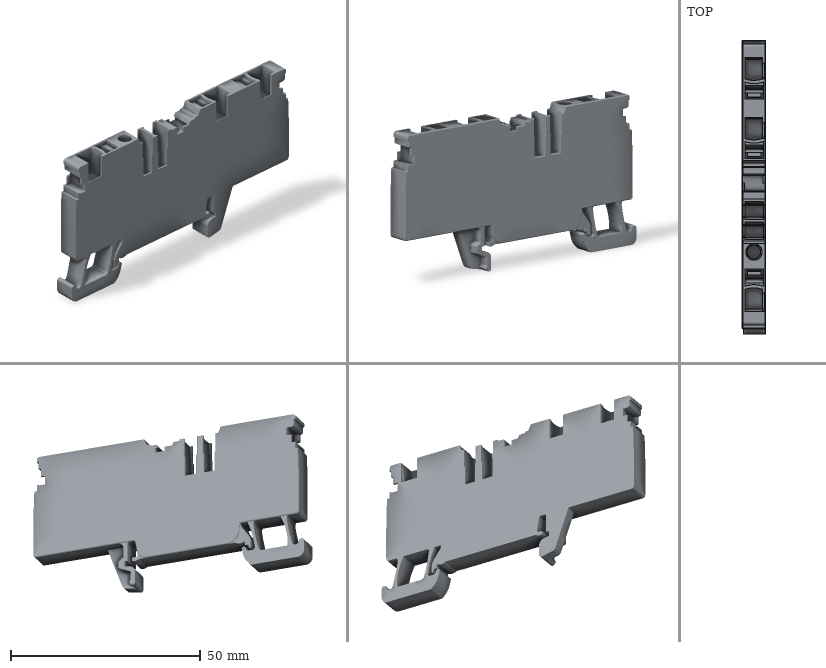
import cadquery as cq
WIDTH = 6.1
LENGTH = 77.54
HEIGHT = 41.1
SKIN = 0.3
SKIN_CHAMFER = 0.2

NEAR_END = 1.4
FAR_END = LENGTH
HOUSING_BOTTOM = 12.45
KEEL_BOTTOM = 7.05
BOTTOM_CORNER = 0.4
BOTTOM_CORNER_TOP = 13.35

LIP_ROUND_WIDTH = 0.9
LIP_ROUND_DROP = 0.8
LIP_INSET = 0.95
LIP_BOTTOM = 39.6
NECK_INSET = 1.4
NECK_BOTTOM = 37.8
MARKER_INSET = 2.1
MARKER_TOP = 37.5
MARKER_BOTTOM = 33.15
SHOULDER_BOTTOM = 31.35
TAPER_INSET = 0.25
TAPER_MID_INSET = 0.064
TAPER_BOTTOM = 22.0

STEP_HIGH = 39.4
STEP_LOW = 38.95
MARKER_FLAT = 38.0
FAR_BLOCK_EDGE = 45.85
NEAR_BLOCK_EDGE = 23.9

SLIT_BOTTOM = 28.75
SLIT_STEP = 34.2
SHAFT_FLOOR = 26.0
SHAFT_X = (0.75, 5.65)
FAR_SLIT_TOP = (30.6, 34.25)
FAR_SLIT_FOOT = (30.85, 34.05)
NEAR_SLIT_TOP = (25.3, 28.9)
NEAR_SLIT_FOOT = (25.65, 28.65)
FAR_SHAFT_MOUTH = (30.3, 35.0)
FAR_SHAFT_FLOOR = (30.9, 34.0)
NEAR_SHAFT_MOUTH = (25.0, 29.55)
NEAR_SHAFT_FLOOR = (25.55, 28.5)

KEEL_FAR_TOP = 48.5
KEEL_FAR_SIDE = (47.75, 9.1)
KEEL_FAR_MID = (46.85, 7.8)
KEEL_FAR_FLAT = 45.3
KEEL_NEAR_TOP = 18.3
KEEL_NEAR_SIDE = (18.5, 10.4)
KEEL_NEAR_MID = (19.5, 8.15)
KEEL_NEAR_FLAT = 21.2

POCKET_WALL = 0.7
POCKET_REACH = 5.4
POCKET_LENGTH = 5.15
POCKET_DEPTH = 8.0
POCKET_BOW = 0.4
WINDOW_INSET = 1.0
WINDOW_DEPTH = 6.0
WINDOW_SILL_SLOPE = 0.55
SLOT_REACH = 5.6
SLOT_GAP = 0.85
SLOT_LENGTH = 4.5
SLOT_DEPTH = 4.0
LEDGE_LENGTH = 0.9
LEDGE_DEPTH = 1.0
PAD_OFFSET = 2.9
PAD_LENGTH = 1.0
PAD_DEPTH = 0.8
PAD_RAMP = 1.0
PAD_BACK_SLOPE = 0.2
PAD_SIDE_GAP = 0.65
TERMINALS = [
    (67.35, -1, 0.5),
    (51.65, -1, 0.4),
    (11.8, 1, 0.7),
]

TEST_HOLE_Y = 21.65
TEST_HOLE_X = 3.1
TEST_HOLE_RADIUS = 1.8
TEST_HOLE_CHAMFER = 0.35
TEST_HOLE_DEPTH = 10.0

MARKER_DEPTH = 1.3
MARKER_WALL = 0.6
MARKER_UNDERCUT = 0.3
MARKER_SPLIT = 35.35
MIDDLE_MARKER = (37.8, 42.4)
MIDDLE_MARKER_SPLIT = 39.9
OPEN_MINUS = (0, WIDTH - MARKER_WALL)
OPEN_PLUS = (MARKER_WALL, WIDTH)

RIM_WEB = 2.9
FOOT_FILLET = 0.4

ARC_POINTS = 3


def slab(start, x_from, x_to):
    """Extrude a closed YZ outline between two X positions."""
    return start.close().extrude(x_to - x_from).translate((x_from, 0, 0))


def polygon(points, x_from, x_to):
    return slab(cq.Workplane("YZ").polyline(points), x_from, x_to)


def block(x_range, y_range, z_range):
    sizes = [high - low for low, high in (x_range, y_range, z_range)]
    corner = (x_range[0], y_range[0], z_range[0])
    return cq.Workplane("XY").box(*sizes, centered=False).translate(corner)


def end_profile(end_face, inward):
    """Stepped end outline from the top face down to the housing bottom.

    Returned as chains of points; a chain of three points is an arc.
    """
    lip_round = [
        (LIP_INSET + LIP_ROUND_WIDTH, HEIGHT),
        (LIP_INSET + 0.27 * LIP_ROUND_WIDTH, HEIGHT - 0.3 * LIP_ROUND_DROP),
        (LIP_INSET, HEIGHT - LIP_ROUND_DROP),
    ]
    steps = [
        lip_round[-1],
        (LIP_INSET, LIP_BOTTOM),
        (NECK_INSET, LIP_BOTTOM),
        (NECK_INSET, NECK_BOTTOM),
        (MARKER_INSET, MARKER_TOP),
        (MARKER_INSET, MARKER_BOTTOM),
        (LIP_INSET, MARKER_BOTTOM),
        (LIP_INSET, SHOULDER_BOTTOM),
        (TAPER_INSET, SHOULDER_BOTTOM),
    ]
    taper = [
        steps[-1],
        (TAPER_MID_INSET, (SHOULDER_BOTTOM + TAPER_BOTTOM) / 2),
        (0, TAPER_BOTTOM),
    ]
    foot = [
        taper[-1],
        (0, BOTTOM_CORNER_TOP),
        (BOTTOM_CORNER * 0.2, HOUSING_BOTTOM + BOTTOM_CORNER),
        (BOTTOM_CORNER, HOUSING_BOTTOM),
    ]
    chains = [lip_round, steps, taper, foot]
    return [[(end_face + inward * inset, z) for inset, z in chain] for chain in chains]


def follow(path, chains):
    """Continue a path that stands on the first point of the first chain."""
    for chain in chains:
        if len(chain) == ARC_POINTS:
            path = path.threePointArc(*chain[1:])
        else:
            path = path.polyline(chain[1:], includeCurrent=True)
    return path


def slit_profile(top, foot):
    """Side slit outline, entered at high Y and left at low Y."""
    return [
        (top[1], STEP_HIGH),
        (top[1], SLIT_STEP),
        (foot[1], SLIT_STEP),
        (foot[1], SLIT_BOTTOM),
        (foot[0], SLIT_BOTTOM),
        (foot[0], SLIT_STEP),
        (top[0], SLIT_STEP),
        (top[0], STEP_HIGH),
    ]


def middle_profile():
    """Stepped top outline between the two terminal blocks, from high to low Y."""
    marker_steps = [
        (FAR_BLOCK_EDGE, HEIGHT),
        (45.1, STEP_HIGH),
        (44.2, STEP_HIGH),
        (43.95, STEP_LOW),
        (42.3, STEP_LOW),
        (41.8, MARKER_FLAT),
        (37.7, MARKER_FLAT),
        (37.5, STEP_LOW),
        (35.6, STEP_LOW),
        (35.6, STEP_HIGH),
    ]
    slits = slit_profile(FAR_SLIT_TOP, FAR_SLIT_FOOT) + slit_profile(NEAR_SLIT_TOP, NEAR_SLIT_FOOT)
    rise = [(24.6, STEP_HIGH), (24.2, 40.1), (NEAR_BLOCK_EDGE, HEIGHT)]
    return marker_steps + slits + rise


def housing():
    """Main body with the edges of its -X face bevelled."""
    near = end_profile(NEAR_END, 1)
    far_upward = [chain[::-1] for chain in end_profile(FAR_END, -1)[::-1]]
    outline = follow(cq.Workplane("YZ").moveTo(*far_upward[0][0]), far_upward)
    outline = outline.polyline(middle_profile() + [near[0][0]], includeCurrent=True)
    outline = (
        follow(outline, near)
        .lineTo(KEEL_NEAR_TOP, HOUSING_BOTTOM)
        .lineTo(*KEEL_NEAR_SIDE)
        .threePointArc(KEEL_NEAR_MID, (KEEL_NEAR_FLAT, KEEL_BOTTOM))
        .lineTo(KEEL_FAR_FLAT, KEEL_BOTTOM)
        .threePointArc(KEEL_FAR_MID, KEEL_FAR_SIDE)
        .lineTo(KEEL_FAR_TOP, HOUSING_BOTTOM)
    )
    core = slab(outline, SKIN_CHAMFER, WIDTH)
    bevel = (
        cq.Workplane("YZ", origin=(SKIN_CHAMFER, 0, 0))
        .add(core.faces("<X").wires().vals())
        .toPending()
        .extrude(-SKIN_CHAMFER, taper=45)
    )
    return core.union(bevel)


def keel_hooks():
    """Rail rests that continue the keel on both sides behind the skin."""
    far_rest = [
        (KEEL_FAR_TOP - 0.3, 11.0),
        (47.7, 8.5),
        (47.9, 7.75),
        (49.3, 7.75),
        (49.3, 6.85),
        (48.6, 6.6),
        (47.6, 6.85),
        (47.4, KEEL_BOTTOM),
        (KEEL_FAR_FLAT - 1, KEEL_BOTTOM),
    ]
    near_hook = [
        (KEEL_NEAR_TOP, HOUSING_BOTTOM),
        (18.0, 11.4),
        (15.75, 8.4),
        (15.25, 7.0),
        (15.25, 4.95),
        (15.8, 4.95),
        (15.95, 5.9),
        (16.85, 5.9),
        (16.85, KEEL_BOTTOM),
        (17.4, 6.8),
        (18.4, 6.6),
        (19.3, 6.8),
        (19.5, KEEL_BOTTOM),
        (KEEL_NEAR_FLAT + 1, KEEL_BOTTOM),
    ]
    return polygon(far_rest, SKIN, WIDTH).union(polygon(near_hook, SKIN, WIDTH))


def rail_side_of_fixed_foot():
    """Open outline of the fixed foot where it faces the rail."""
    return (
        cq.Workplane("YZ")
        .moveTo(50.2, HOUSING_BOTTOM)
        .lineTo(50.6, HOUSING_BOTTOM - FOOT_FILLET)
        .lineTo(50.6, KEEL_BOTTOM)
        .lineTo(51.5, KEEL_BOTTOM)
        .lineTo(51.5, 5.6)
        .lineTo(50.3, 5.45)
        .threePointArc((49.0, 4.9), (48.45, 3.9))
        .lineTo(48.45, FOOT_FILLET)
        .lineTo(48.85, 0)
        .lineTo(49.4, 0)
    )


def fixed_foot():
    """Rigid foot: a full-width rim along the rail side, backed by a thin web."""
    rim = (
        rail_side_of_fixed_foot()
        .lineTo(49.7, 0.25)
        .lineTo(50.15, 0.8)
        .lineTo(49.7, 1.7)
        .lineTo(49.7, 3.9)
        .lineTo(53.2, 5.4)
        .lineTo(53.2, 7.3)
        .lineTo(51.8, 8.3)
        .lineTo(51.8, 11.2)
        .threePointArc((52.2, 12.0), (53.0, HOUSING_BOTTOM))
    )
    web = rail_side_of_fixed_foot().lineTo(52.8, 0.7).lineTo(53.3, 1.2).lineTo(57.5, HOUSING_BOTTOM)
    return slab(rim, SKIN, WIDTH).union(slab(web, WIDTH - RIM_WEB, WIDTH))


def release_foot():
    """Springy foot: a bar hanging on two slanted legs around an open window."""
    outline = (
        cq.Workplane("YZ")
        .moveTo(16.2, HOUSING_BOTTOM)
        .threePointArc((15.0, 9.3), (14.15, 5.3))
        .threePointArc((14.2, 4.5), (14.7, 4.2))
        .lineTo(15.9, 4.2)
        .threePointArc((16.5, 4.6), (16.75, 5.3))
        .threePointArc((17.4, 5.55), (17.85, 5.0))
        .lineTo(17.5, 3.5)
        .threePointArc((16.65, 1.55), (15.1, 0))
        .lineTo(1.6, 0)
        .threePointArc((0.5, 0.55), (0, 1.9))
        .lineTo(0, 4.5)
        .threePointArc((0.7, 5.2), (1.4, 4.5))
        .threePointArc((2.5, 3.7), (3.45, 4.6))
        .threePointArc((4.35, 8.3), (4.95, 11.5))
        .lineTo(4.7, HOUSING_BOTTOM)
    )
    window = (
        cq.Workplane("YZ")
        .moveTo(14.15, HOUSING_BOTTOM)
        .lineTo(14.55, 12.0)
        .threePointArc((14.0, 8.5), (12.95, 4.3))
        .lineTo(12.4, 3.75)
        .lineTo(4.7, 3.75)
        .lineTo(4.7, 5.8)
        .threePointArc((5.4, 9.3), (6.75, HOUSING_BOTTOM))
    )
    return slab(outline, SKIN, WIDTH).cut(slab(window, SKIN, WIDTH))


def terminal_cut(edge, toward_slot, lead_in):
    """Wire pocket with its +X window, and the release slot beside it."""
    away = -toward_slot
    pocket_end = edge + away * POCKET_LENGTH
    bow_mid = (WIDTH / 2, edge + toward_slot * POCKET_BOW)
    floor = HEIGHT - POCKET_DEPTH
    pocket = (
        cq.Workplane("XY", origin=(0, 0, floor))
        .moveTo(POCKET_WALL, edge)
        .threePointArc(bow_mid, (POCKET_REACH, edge))
        .lineTo(POCKET_REACH, pocket_end)
        .lineTo(POCKET_WALL, pocket_end)
        .close()
        .extrude(POCKET_DEPTH)
    )
    lead = [
        (pocket_end, floor),
        (pocket_end, HEIGHT),
        (pocket_end + away * lead_in, HEIGHT),
    ]
    sill = HEIGHT - WINDOW_DEPTH
    sill_edge = POCKET_REACH + WINDOW_SILL_SLOPE
    window_section = [
        (POCKET_REACH, HEIGHT),
        (POCKET_REACH, sill - WINDOW_SILL_SLOPE),
        (sill_edge, sill),
        (WIDTH, sill),
        (WIDTH, HEIGHT),
    ]
    window_low = min(edge, pocket_end + away * lead_in)
    window_high = max(edge, pocket_end) - WINDOW_INSET
    window = (
        cq.Workplane("XZ", origin=(0, window_high, 0))
        .polyline(window_section)
        .close()
        .extrude(window_high - window_low)
    )
    return pocket.union(polygon(lead, POCKET_WALL, POCKET_REACH)).union(window).union(
        release_slot(edge + toward_slot * SLOT_GAP, toward_slot)
    )


def release_slot(start, direction):
    """Screwdriver slot with a ledge beside the bowed pocket wall and a raised pad."""
    pad_end = PAD_OFFSET + PAD_LENGTH
    floor_steps = [
        (0, 0),
        (0, LEDGE_DEPTH),
        (LEDGE_LENGTH, LEDGE_DEPTH),
        (PAD_OFFSET - PAD_RAMP, SLOT_DEPTH),
        (PAD_OFFSET, PAD_DEPTH),
        (pad_end, PAD_DEPTH),
        (pad_end + PAD_BACK_SLOPE, SLOT_DEPTH),
        (SLOT_LENGTH, SLOT_DEPTH),
        (SLOT_LENGTH, 0),
    ]
    section = [(start + direction * offset, HEIGHT - depth) for offset, depth in floor_steps]
    slot = polygon(section, POCKET_WALL, SLOT_REACH)
    gap_y = sorted(start + direction * offset for offset in (PAD_OFFSET, SLOT_LENGTH))
    for gap_x in (POCKET_WALL, SLOT_REACH - PAD_SIDE_GAP):
        slot = slot.union(
            block((gap_x, gap_x + PAD_SIDE_GAP), gap_y, (HEIGHT - SLOT_DEPTH, HEIGHT))
        )
    bowed_wall = (
        cq.Workplane("XY", origin=(0, 0, HEIGHT - SLOT_DEPTH))
        .moveTo(POCKET_WALL, start)
        .threePointArc((WIDTH / 2, start + direction * POCKET_BOW), (SLOT_REACH, start))
        .close()
        .extrude(SLOT_DEPTH)
    )
    return slot.cut(bowed_wall)


def bridge_shaft(mouth, floor):
    """Funnel-shaped shaft between the two slit side walls."""
    section = [
        (mouth[0], HEIGHT),
        (mouth[0], STEP_HIGH),
        (floor[0], SHAFT_FLOOR),
        (floor[1], SHAFT_FLOOR),
        (mouth[1], STEP_HIGH),
        (mouth[1], HEIGHT),
    ]
    return polygon(section, *SHAFT_X)


def test_hole():
    """Blind round hole with a chamfered mouth."""
    shaft = (
        cq.Workplane("XY", origin=(TEST_HOLE_X, TEST_HOLE_Y, HEIGHT))
        .circle(TEST_HOLE_RADIUS)
        .extrude(-TEST_HOLE_DEPTH)
    )
    mouth = cq.Solid.makeCone(
        TEST_HOLE_RADIUS,
        TEST_HOLE_RADIUS + TEST_HOLE_CHAMFER,
        TEST_HOLE_CHAMFER,
        pnt=cq.Vector(TEST_HOLE_X, TEST_HOLE_Y, HEIGHT - TEST_HOLE_CHAMFER),
    )
    return shaft.union(cq.Workplane(mouth))


def end_marker(end_face, inward, upper_x, lower_x):
    """Marker pocket in a housing end; its halves open to opposite sides."""
    y_range = sorted(end_face + inward * inset for inset in (NECK_INSET, MARKER_INSET + MARKER_DEPTH))
    lower = block(lower_x, y_range, (MARKER_BOTTOM - MARKER_UNDERCUT, MARKER_SPLIT))
    upper = block(upper_x, y_range, (MARKER_SPLIT, MARKER_TOP))
    return lower.union(upper)


def middle_marker():
    """Marker pocket in the stepped middle; its halves open to opposite sides."""
    z_range = (MARKER_FLAT - MARKER_DEPTH, MARKER_FLAT)
    near = block(OPEN_PLUS, (MIDDLE_MARKER[0], MIDDLE_MARKER_SPLIT), z_range)
    far = block(OPEN_MINUS, (MIDDLE_MARKER_SPLIT, MIDDLE_MARKER[1]), z_range)
    return near.union(far)


result = housing().union(keel_hooks()).union(fixed_foot()).union(release_foot())
for terminal in TERMINALS:
    result = result.cut(terminal_cut(*terminal))
result = (
    result
    .cut(bridge_shaft(FAR_SHAFT_MOUTH, FAR_SHAFT_FLOOR))
    .cut(bridge_shaft(NEAR_SHAFT_MOUTH, NEAR_SHAFT_FLOOR))
    .cut(test_hole())
    .cut(end_marker(NEAR_END, 1, OPEN_MINUS, OPEN_PLUS))
    .cut(end_marker(FAR_END, -1, OPEN_PLUS, OPEN_MINUS))
    .cut(middle_marker())
)